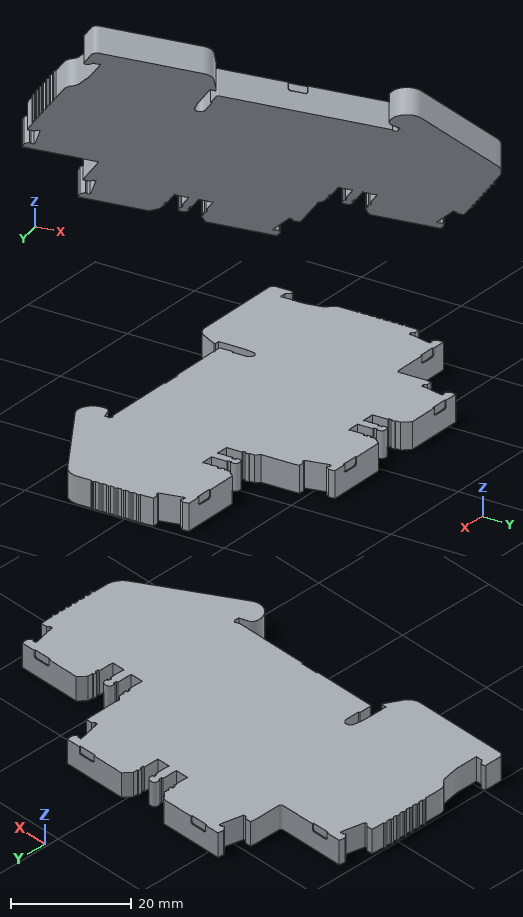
import cadquery as cq
import math


length = 80.09
height = 49.09
thickness = 5.15

right_wall_inset = 0.47
level_step = 13.03
lower_left = 0.6
lower_right = length - right_wall_inset
lower_top = height - level_step
upper_left = 16.17
upper_right = 55.5
step_fillet = 0.6

lip_top_inset = 1.69
lip_nose = [(1.55, -1.2), (2.2, -2.05), (2.6, -1.75)]
clip_depth = 3.14
clip_roof_drop = 1.75
clip_wall_drop = 2.2
clip_foot = [(2.2, -6.5), (1.7, -6.5)]
ledge_inset = 1.3
ledge_drop = 6.03
bevel_width = 0.1
bevel_height = 1.0
cut_margin = 1.0

slot_half_width = 3.5
slot_depth = 7.0
slot_spacing = 24.13
upper_slot_x = (upper_left + upper_right) / 2
lower_slot_x = upper_slot_x + slot_spacing
throat_step = 0.24
throat_half_width = slot_half_width + throat_step
throat_depth = 2.5
mouth_half_width = 5.05
mouth_depth = 1.5
pin_half_width = 0.9
pin_top_drop = 1.93
pin_tip_fillet = 0.7
groove_drop = 3.55
groove_width = 0.65
groove_depth = 0.3

tooth_count = 7
tooth_pitch = 1.51
tooth_base_height = 0.8
tooth_tip_height = 0.4
tooth_depth = 0.24
lowest_tooth_y = 18.0
nib_height = 0.25

foot_corner_fillet = 1.0
foot_lip_y = 4.2
foot_waist_x = 2.8
foot_tip = (24.1, 4.95)
foot_tip_land = 0.3
toe_start_x = 20.0
toe_middle = (21.25, 0.35)
toe_end = (22.3, 1.3)
foot_lip_width = 1.1
foot_lip_rise = 0.3
foot_groove_x = 1.5
foot_groove_y = 3.7

waist_top_y = 14.1
s_bend_hollow = (0.9, 13.15)
s_bend_middle = (1.55, 12.5)
s_bend_shoulder = (2.0, 12.0)
waist_slope_top = (2.25, 11.2)
waist_slope_bottom = (2.68, 9.0)
waist_blend_middle = (2.77, 8.2)
waist_blend_end_y = 7.36

rail_y = 6.4
spring_left = 23.1
spring_top_left = 23.35
spring_top_right = 25.25
spring_right = 25.0
spring_shoulder_y = 9.15
spring_taper_y = 10.2
spring_corner_fillet = 0.25
spring_round_y = 11.95
spring_round_radius = (spring_top_right - spring_top_left) / 2

hook_x = 57.95
hook_y = 3.2
hook_radius = 2.95
hook_slope = math.radians(30.7)
hook_throat_x = 57.65
hook_throat_y = 5.45
relief_start_x = 56.7
relief_top = (57.2, rail_y + 0.3)
nose_flank_end = (56.2, 5.0)
nose_flank_middle = (55.35, 4.5)
end_corner_radius = 4.0

recess_depth = 0.24
recess_height = 1.5
recess_chamfer = 0.3
recess_width = 3.5
recess_from_wall = 4.6
rail_recess_x = 39.65


def extrude_points(points):
    return cq.Workplane("XY").polyline(points).close().extrude(thickness)


def make_blank():
    """Stepped body with the foot, the spring slot and the rail hook."""
    tangent_x = hook_x + hook_radius * math.sin(hook_slope)
    tangent_y = hook_y - hook_radius * math.cos(hook_slope)
    end_corner_y = tangent_y + (lower_right - tangent_x) * math.tan(hook_slope)
    spring_mid_x = (spring_top_left + spring_top_right) / 2

    blank = (
        cq.Workplane("XY")
        .moveTo(0, 0)
        .lineTo(toe_start_x, 0)
        .threePointArc(toe_middle, toe_end)
        .lineTo(foot_tip[0], foot_tip[1] - foot_tip_land)
        .lineTo(*foot_tip)
        .lineTo(spring_left, foot_tip[1])
        .lineTo(spring_left, spring_taper_y)
        .lineTo(spring_top_left, spring_round_y)
        .threePointArc(
            (spring_mid_x, spring_round_y + spring_round_radius),
            (spring_top_right, spring_round_y),
        )
        .lineTo(spring_top_right, spring_shoulder_y)
        .lineTo(spring_right, spring_shoulder_y)
        .lineTo(spring_right, rail_y)
        .lineTo(relief_start_x, rail_y)
        .threePointArc(relief_top, (hook_throat_x, rail_y))
        .lineTo(hook_throat_x, hook_throat_y)
        .lineTo(*nose_flank_end)
        .threePointArc(nose_flank_middle, (hook_x - hook_radius, hook_y))
        .threePointArc((2 * hook_x - tangent_x, tangent_y), (tangent_x, tangent_y))
        .lineTo(lower_right, end_corner_y)
        .lineTo(lower_right, lower_top)
        .lineTo(upper_right, lower_top)
        .lineTo(upper_right, height)
        .lineTo(upper_left, height)
        .lineTo(upper_left, lower_top)
        .lineTo(lower_left, lower_top)
        .lineTo(lower_left, waist_top_y)
        .threePointArc(s_bend_hollow, s_bend_middle)
        .threePointArc(s_bend_shoulder, waist_slope_top)
        .lineTo(*waist_slope_bottom)
        .threePointArc(waist_blend_middle, (foot_waist_x, waist_blend_end_y))
        .lineTo(foot_waist_x, foot_groove_y)
        .lineTo(foot_groove_x, foot_groove_y)
        .lineTo(foot_lip_width, foot_lip_y)
        .threePointArc((foot_lip_width / 2, foot_lip_y + foot_lip_rise), (0, foot_lip_y))
        .close()
        .extrude(thickness)
    )
    blank = fillet_upright_edge(blank, 0, 0, foot_corner_fillet)
    blank = fillet_upright_edge(blank, lower_right, end_corner_y, end_corner_radius)
    blank = fillet_upright_edge(blank, spring_right, rail_y, spring_corner_fillet)
    return fillet_upright_edge(blank, upper_left, lower_top, step_fillet)


def fillet_upright_edge(body, x, y, radius):
    nearest = cq.selectors.NearestToPointSelector((x, y, thickness / 2))
    return body.edges("|Z").edges(nearest).fillet(radius)


def clip_cut(wall_x, top_y, inward):
    """Material removed at a level's corner to leave the snap lip and the ledge below it."""
    profile = [
        (-cut_margin, cut_margin),
        (lip_top_inset, cut_margin),
        (lip_top_inset, 0),
        *lip_nose,
        (clip_depth, -clip_roof_drop),
        (clip_depth, -clip_wall_drop),
        *clip_foot,
        (ledge_inset, -ledge_drop),
        (bevel_width, -ledge_drop),
        (0, -ledge_drop - bevel_height),
        (-cut_margin, -ledge_drop - bevel_height),
    ]
    return extrude_points([(wall_x + inward * x, top_y + y) for x, y in profile])


def block(x_min, x_max, y_min, y_max):
    return extrude_points([(x_min, y_min), (x_max, y_min), (x_max, y_max), (x_min, y_max)])


def plug_slot_cut(center_x, top_y):
    """Slot with a flared mouth and grooved walls, less the grooved pin."""
    floor_y = top_y - slot_depth
    right_side = [
        (slot_half_width, -slot_depth),
        (slot_half_width, -throat_depth),
        (throat_half_width, -throat_depth),
        (throat_half_width, -mouth_depth),
        (mouth_half_width, 0),
    ]
    left_side = [(-x, y) for x, y in reversed(right_side)]
    slot = extrude_points([(center_x + x, top_y + y) for x, y in right_side + left_side])

    pin = block(center_x - pin_half_width, center_x + pin_half_width, floor_y, top_y - pin_top_drop)
    pin = pin.edges("|Z and >Y").fillet(pin_tip_fillet)

    groove_low = top_y - groove_drop - groove_width / 2
    groove_high = groove_low + groove_width
    wall_grooves = block(
        center_x - slot_half_width - groove_depth,
        center_x + slot_half_width + groove_depth,
        groove_low,
        groove_high,
    )
    pin_neck = pin_half_width - groove_depth
    pin_core = block(center_x - pin_neck, center_x + pin_neck, groove_low, groove_high)
    return slot.cut(pin).union(wall_grooves.cut(pin_core))


def grip_teeth():
    """Matching rows of teeth on both end walls, with a nib on the lowest right tooth."""
    half_base = tooth_base_height / 2
    half_tip = tooth_tip_height / 2
    teeth = block(lower_right, length, lowest_tooth_y - nib_height / 2, lowest_tooth_y + nib_height / 2)
    for wall_x, outward in ((lower_left, -1), (lower_right, 1)):
        root_x = wall_x - outward * tooth_depth
        tip_x = wall_x + outward * tooth_depth
        for i in range(tooth_count):
            y = lowest_tooth_y + i * tooth_pitch
            profile = [
                (root_x, y - half_base),
                (wall_x, y - half_base),
                (tip_x, y - half_tip),
                (tip_x, y + half_tip),
                (wall_x, y + half_base),
                (root_x, y + half_base),
            ]
            teeth = teeth.union(extrude_points(profile))
    return teeth


def label_recess(center_x, edge_y):
    """Shallow pocket in a wall facing along Y, its two lower corners chamfered."""
    recess = cq.Workplane("XY").box(recess_width, 2 * recess_depth, recess_height)
    recess = recess.edges("|Y and <Z").chamfer(recess_chamfer)
    return recess.translate((center_x, edge_y, thickness - recess_height / 2))


result = make_blank()

levels = [
    (upper_left, upper_right, height, upper_slot_x, upper_left),
    (lower_left, lower_right, lower_top, lower_slot_x, upper_right),
]
recess_inset = recess_from_wall + recess_width / 2
for left, right, top, slot_x, slot_min_x in levels:
    result = result.cut(clip_cut(left, top, 1))
    result = result.cut(clip_cut(right, top, -1))
    slot_space = block(slot_min_x, right, 0, top)
    result = result.cut(plug_slot_cut(slot_x, top).intersect(slot_space))
    result = result.cut(label_recess(left + recess_inset, top))
    result = result.cut(label_recess(right - recess_inset, top))

result = result.cut(label_recess(rail_recess_x, rail_y))
result = result.union(grip_teeth())